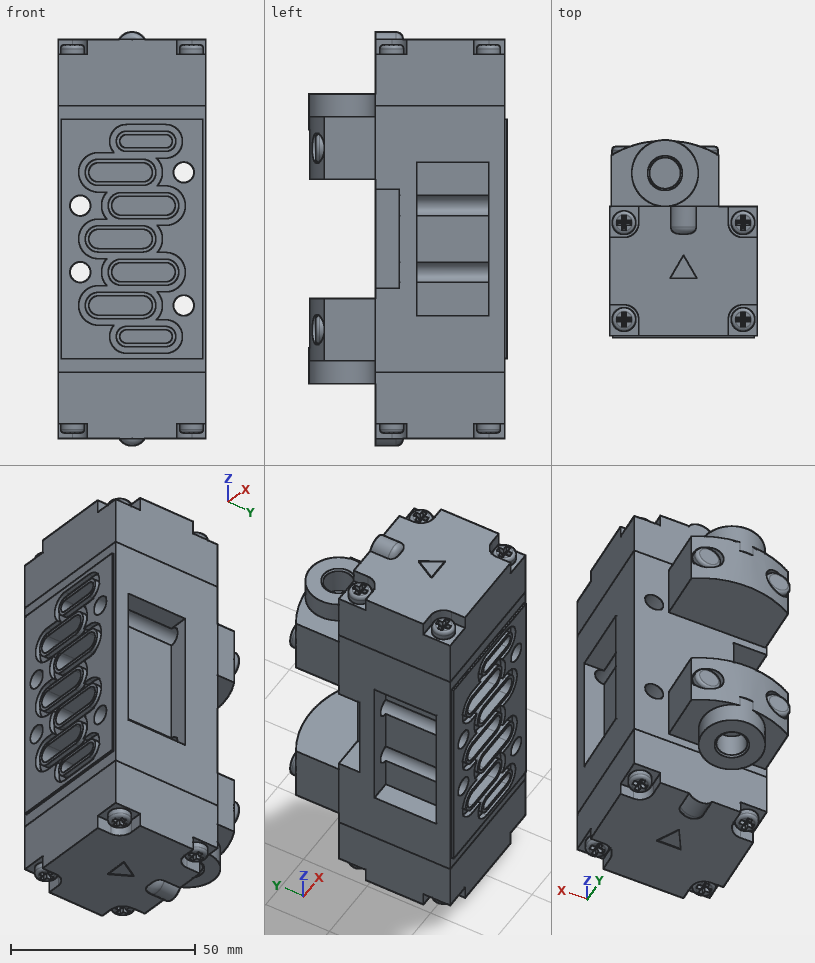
import cadquery as cq
import math

WIDTH = 40.0
DEPTH = 35.0
HEIGHT = 108.0
CAP_HEIGHT = 18.0
BODY_HEIGHT = HEIGHT - 2 * CAP_HEIGHT

PAD_WIDTH = 38.4
PAD_HEIGHT = 64.8
PAD_THICKNESS = 0.6

LARGE_PORT_X = 3.1
SMALL_PORT_X = 3.8
PORT_PITCH = 9.0
SMALL_PORT_Z = 26.4
LARGE_HALF_STRAIGHT = 6.0
SMALL_HALF_STRAIGHT = 5.3
LARGE_SLOT_RADIUS = 2.6
SMALL_SLOT_RADIUS = 1.8
RIM_WIDTH = 0.95
GROOVE_WIDTH = 1.8
GROOVE_DEPTH = 1.5
SLOT_DEPTH = 10.0

HOLE_X = 14.0
HOLE_DIAMETER = 5.5
LEFT_HOLE_Z = PORT_PITCH
RIGHT_HOLE_Z = 2 * PORT_PITCH

POCKET_FLOOR_X = HOLE_X
POCKET_HEIGHT = 41.6
POCKET_FRONT_Y = 4.4
POCKET_BACK_Y = 23.8
NOTCH_HEIGHT = 26.8
NOTCH_DEPTH_Y = 6.5
NOTCH_DEPTH_X = 10.0

SCREW_X = 16.1
SCREW_EDGE_Y = 4.4
SCREW_RADIUS = 3.2
SCREW_HEIGHT = 2.5
SCREW_ROUNDING = 1.0
CROSS_LENGTH = 4.0
CROSS_WIDTH = 1.3
CROSS_DEPTH = 1.2
CROSS_TAPER_ANGLE = 20.0
RECESS_RADIUS = 4.0
RECESS_DEPTH = 4.0

BUMP_RADIUS = 4.0
BUMP_RISE = 2.0
BUMP_LENGTH = 7.5
BUMP_ROUNDING = 2.0
ARROW_TIP_Y = 21.8
ARROW_BASE_Y = 15.6
ARROW_HALF_WIDTH = 3.6
ARROW_DEPTH = 0.3

PILOT_X = -5.0
PILOT_WIDTH = 29.2
PILOT_BOTTOM_Z = 16.1
PILOT_TOP_Z = 33.0
PILOT_SIDE_DEPTH = 13.8
PILOT_CROWN_DEPTH = 17.85
BOSS_RADIUS = 9.0
BOSS_BOTTOM_Z = 29.5
BOSS_TOP_Z = 39.2
BORE_RADIUS = 4.2
BORE_DEPTH = 8.0
BORE_CHAMFER = 0.5
PILOT_SCREW_OFFSET = 10.5
PILOT_SCREW_RADIUS = 3.85
PILOT_SCREW_HEIGHT = 2.3
PILOT_SCREW_ROUNDING = 1.0
PILOT_SEAT_RADIUS = 4.05
PILOT_SEAT_Y = DEPTH + 13.9


def box_between(x0, x1, y0, y1, z0, z1):
    corner = cq.Workplane("XY").box(x1 - x0, y1 - y0, z1 - z0, centered=False)
    return corner.translate((x0, y0, z0))


def rounded_slot(port, radius, depth):
    """Round-ended bar running inward from the pad face at one port."""
    x, z, half_straight, _ = port
    return (
        cq.Workplane("XZ", origin=(x, -PAD_THICKNESS, z))
        .slot2D(2 * (half_straight + radius), 2 * radius)
        .extrude(-depth)
    )


def port_list():
    """Ports as (x, z, half straight length, slot radius)."""
    ports = []
    for row in range(-2, 3):
        x = -LARGE_PORT_X if row % 2 == 0 else LARGE_PORT_X
        ports.append((x, row * PORT_PITCH, LARGE_HALF_STRAIGHT, LARGE_SLOT_RADIUS))
    for z in (-SMALL_PORT_Z, SMALL_PORT_Z):
        ports.append((SMALL_PORT_X, z, SMALL_HALF_STRAIGHT, SMALL_SLOT_RADIUS))
    return ports


def cut_ports(block):
    """Cut the joined seal grooves, then restore each rim and open its slot."""
    ports = port_list()
    for port in ports:
        block = block.cut(rounded_slot(port, port[3] + RIM_WIDTH + GROOVE_WIDTH, GROOVE_DEPTH))
    for port in ports:
        block = block.union(rounded_slot(port, port[3] + RIM_WIDTH, GROOVE_DEPTH))
    for port in ports:
        block = block.cut(rounded_slot(port, port[3], SLOT_DEPTH))
    return block


def make_body():
    half_width = WIDTH / 2
    half_height = BODY_HEIGHT / 2
    block = box_between(-half_width, half_width, 0, DEPTH, -half_height, half_height)
    pad = box_between(
        -PAD_WIDTH / 2, PAD_WIDTH / 2, -PAD_THICKNESS, 0, -PAD_HEIGHT / 2, PAD_HEIGHT / 2
    )
    block = cut_ports(block.union(pad))

    half_pocket = POCKET_HEIGHT / 2
    for inner, outer in ((-half_width, -POCKET_FLOOR_X), (POCKET_FLOOR_X, half_width)):
        pocket = box_between(inner, outer, POCKET_FRONT_Y, POCKET_BACK_Y, -half_pocket, half_pocket)
        block = block.cut(pocket)

    notch = box_between(
        -half_width, -half_width + NOTCH_DEPTH_X,
        DEPTH - NOTCH_DEPTH_Y, DEPTH,
        -NOTCH_HEIGHT / 2, NOTCH_HEIGHT / 2,
    )
    hole_places = [
        (side * HOLE_X, sign * z)
        for side, z in ((-1, LEFT_HOLE_Z), (1, RIGHT_HOLE_Z))
        for sign in (-1, 1)
    ]
    holes = (
        cq.Workplane("XZ", origin=(0, -PAD_THICKNESS, 0))
        .pushPoints(hole_places)
        .circle(HOLE_DIAMETER / 2)
        .extrude(-(DEPTH + PAD_THICKNESS))
    )
    return block.cut(notch).cut(holes)


def corner_recess(x, y, floor_z):
    """Square corner cut with its inner corner rounded about the screw axis."""
    x_edge = math.copysign(WIDTH / 2, x)
    y_edge = DEPTH if y > DEPTH / 2 else 0.0
    x_inner = x - math.copysign(RECESS_RADIUS, x)
    y_inner = y - RECESS_RADIUS if y > DEPTH / 2 else y + RECESS_RADIUS
    x_low, x_high = sorted((x_edge, x_inner))
    y_low, y_high = sorted((y_edge, y_inner))
    square = box_between(x_low, x_high, y_low, y_high, floor_z, floor_z + RECESS_DEPTH)
    inner_edge = cq.selectors.NearestToPointSelector((x_inner, y_inner, floor_z + RECESS_DEPTH / 2))
    return square.edges(inner_edge).fillet(RECESS_RADIUS)


def cap_screw(x, y, floor_z):
    """Rounded screw head with a tapered cross slot."""
    head = (
        cq.Workplane("XY", origin=(x, y, floor_z))
        .circle(SCREW_RADIUS)
        .extrude(SCREW_HEIGHT)
        .faces(">Z")
        .edges()
        .fillet(SCREW_ROUNDING)
    )
    cross_plane = cq.Workplane("XY", origin=(x, y, floor_z + SCREW_HEIGHT))
    for length, width in ((CROSS_LENGTH, CROSS_WIDTH), (CROSS_WIDTH, CROSS_LENGTH)):
        head = head.cut(cross_plane.rect(length, width).extrude(-CROSS_DEPTH, taper=CROSS_TAPER_ANGLE))
    return head


def make_top_cap():
    top_z = HEIGHT / 2
    floor_z = top_z - RECESS_DEPTH
    cap = box_between(-WIDTH / 2, WIDTH / 2, 0, DEPTH, BODY_HEIGHT / 2, top_z)

    bump = (
        cq.Workplane("XZ", origin=(0, DEPTH, top_z + BUMP_RISE - BUMP_RADIUS))
        .circle(BUMP_RADIUS)
        .extrude(BUMP_LENGTH)
        .faces("<Y")
        .edges()
        .fillet(BUMP_ROUNDING)
    )
    arrow = (
        cq.Workplane("XY", origin=(0, 0, top_z))
        .polyline([(-ARROW_HALF_WIDTH, ARROW_BASE_Y), (ARROW_HALF_WIDTH, ARROW_BASE_Y), (0, ARROW_TIP_Y)])
        .close()
        .extrude(-ARROW_DEPTH)
    )
    cap = cap.union(bump).cut(arrow)

    for x in (-SCREW_X, SCREW_X):
        for y in (SCREW_EDGE_Y, DEPTH - SCREW_EDGE_Y):
            cap = cap.cut(corner_recess(x, y, floor_z)).union(cap_screw(x, y, floor_z))
    return cap


def make_top_pilot():
    """Housing with an arched back, a round boss with a bore, and two screw heads."""
    half_width = PILOT_WIDTH / 2
    housing = (
        cq.Workplane("XY", origin=(PILOT_X, DEPTH, PILOT_BOTTOM_Z))
        .moveTo(-half_width, 0)
        .lineTo(half_width, 0)
        .lineTo(half_width, PILOT_SIDE_DEPTH)
        .threePointArc((0, PILOT_CROWN_DEPTH), (-half_width, PILOT_SIDE_DEPTH))
        .close()
        .extrude(PILOT_TOP_Z - PILOT_BOTTOM_Z)
    )

    screw_z = (PILOT_BOTTOM_Z + PILOT_TOP_Z) / 2
    seat_depth = DEPTH + PILOT_CROWN_DEPTH - PILOT_SEAT_Y
    for side in (-1, 1):
        screw_x = PILOT_X + side * PILOT_SCREW_OFFSET
        seat_plane = cq.Workplane("XZ", origin=(screw_x, PILOT_SEAT_Y, screw_z))
        seat = seat_plane.circle(PILOT_SEAT_RADIUS).extrude(-seat_depth)
        head = (
            seat_plane.circle(PILOT_SCREW_RADIUS)
            .extrude(-PILOT_SCREW_HEIGHT)
            .faces(">Y")
            .edges()
            .fillet(PILOT_SCREW_ROUNDING)
        )
        housing = housing.cut(seat).union(head)

    axis_y = DEPTH + BOSS_RADIUS
    boss = (
        cq.Workplane("XY", origin=(PILOT_X, axis_y, BOSS_BOTTOM_Z))
        .circle(BOSS_RADIUS)
        .extrude(BOSS_TOP_Z - BOSS_BOTTOM_Z)
    )
    bore_mouth = cq.Workplane("XY", origin=(PILOT_X, axis_y, BOSS_TOP_Z))
    bore = bore_mouth.circle(BORE_RADIUS).extrude(-BORE_DEPTH)
    housing = housing.union(boss).cut(bore)
    mouth_edge = cq.selectors.NearestToPointSelector((PILOT_X, axis_y, BOSS_TOP_Z))
    return housing.faces(">Z").edges(mouth_edge).chamfer(BORE_CHAMFER)


body = make_body()
top_cap = make_top_cap()
top_pilot = make_top_pilot()
caps = [top_cap, top_cap.mirror("XY")]
pilots = [top_pilot, top_pilot.mirror("XY")]

result = cq.Compound.makeCompound([part.val() for part in [body, *caps, *pilots]])